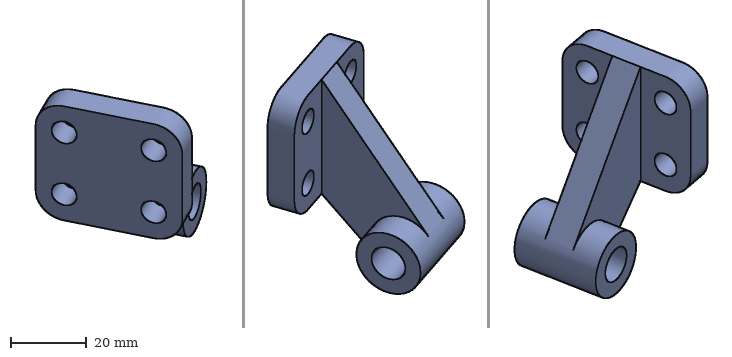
import cadquery as cq
import math

plate_width = 41.0
plate_height = 37.0
plate_thickness = 8.0
corner_radius = 8.0

hole_diameter = 7.0
hole_pitch_x = 25.0
hole_pitch_z = 20.0

barrel_diameter = 19.0
barrel_radius = barrel_diameter / 2
barrel_length = 26.0
bore_diameter = 10.0
barrel_y = 32.0

web_thickness = 9.0

plate_bottom_z = barrel_radius
plate_top_z = plate_bottom_z + plate_height
plate_center_z = plate_bottom_z + plate_height / 2


def tangent_point(y, z, side):
    """Point where a line from (y, z) touches the barrel; side picks one of the two tangents."""
    offset_y = y - barrel_y
    distance = math.hypot(offset_y, z)
    angle = math.atan2(z, offset_y) + side * math.acos(barrel_radius / distance)
    return (
        barrel_y + barrel_radius * math.cos(angle),
        barrel_radius * math.sin(angle),
    )


def make_plate():
    """Plate with rounded corners and four through holes."""
    plane = cq.Workplane("XZ", origin=(0, 0, plate_center_z))
    plate = plane.rect(plate_width, plate_height).extrude(-plate_thickness)
    plate = plate.edges("|Y").fillet(corner_radius)
    holes = (
        plane.rect(hole_pitch_x, hole_pitch_z, forConstruction=True)
        .vertices()
        .circle(hole_diameter / 2)
        .extrude(-plate_thickness)
    )
    return plate.cut(holes)


def make_cylinder_along_x(diameter):
    """Cylinder on the barrel axis, as long as the barrel and centred on X = 0."""
    plane = cq.Workplane("YZ", origin=(-barrel_length / 2, barrel_y, 0))
    return plane.circle(diameter / 2).extrude(barrel_length)


def make_web():
    """Web whose sloping edges run from the plate's top and bottom tangent to the barrel."""
    plate_top = (plate_thickness, plate_top_z)
    plate_bottom = (plate_thickness, plate_bottom_z)
    outline = [
        plate_top,
        tangent_point(*plate_top, side=-1),
        (barrel_y, 0),
        tangent_point(*plate_bottom, side=1),
        plate_bottom,
    ]
    plane = cq.Workplane("YZ", origin=(-web_thickness / 2, 0, 0))
    return plane.polyline(outline).close().extrude(web_thickness)


barrel = make_cylinder_along_x(barrel_diameter)
bore = make_cylinder_along_x(bore_diameter)

result = make_plate().union(make_web()).union(barrel).cut(bore)